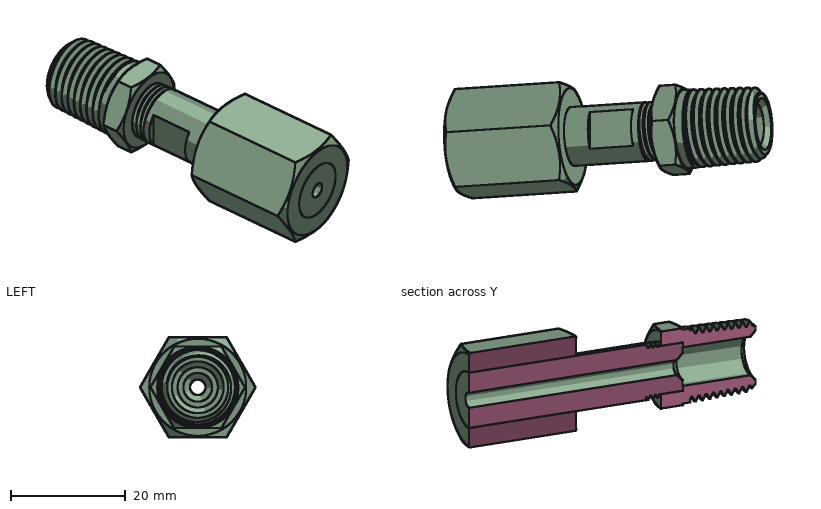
import cadquery as cq
import math


total_length = 55.7
thread_end = 12.65
hex_start = 14.15
hex_end = 18.4
nipple_thread_end = 21.3
flats_start = 22.55
flats_end = 30.45
nut_start = 34.8

collar_radius = 6.85
bushing_hex_width = 14.25
bushing_hex_face_radius = 7.1
lead_chamfer = 1.15
bushing_bore_radius = 3.5
bushing_countersink = 1.0

nipple_radius = 10.3 / 2
nipple_bore_radius = 1.35
nipple_countersink = 1.15
flats_thickness = 7.95

nut_corner_distance = 20.15
nut_width = nut_corner_distance * math.cos(math.radians(30))
nut_face_radius = 8.45

taper_slope = 1 / 32
bushing_pitch = 14.1 / 10
bushing_thread_depth = 1.0
bushing_thread_turn = -58.0
nipple_pitch = 9.4 / 10
nipple_thread_depth = 0.65
nipple_thread_turn = 188.0
root_half_width = 0.05
flank_slope = math.tan(math.radians(30))
groove_lead = 0.6
cutter_overrun = 0.45
cutter_start_angle = 280.0

hex_chamfer_slope = math.tan(math.radians(30))

tip_radius = nipple_radius - (nipple_thread_end - hex_end) * taper_slope - nipple_thread_depth


def revolve_profile(points):
    """Revolve a closed outline of (x, radius) points around the X axis."""
    return cq.Workplane("XY").polyline(points).close().revolve(360, (0, 0, 0), (1, 0, 0))


def cylinder(start, end, radius):
    return cq.Workplane("YZ").workplane(offset=start).circle(radius).extrude(end - start)


def countersink(start, bore_radius, depth):
    """45 degree cone that opens a bore towards -X."""
    return revolve_profile([
        (start, 0),
        (start, bore_radius + depth),
        (start + depth, bore_radius),
        (start + depth, 0),
    ])


def chamfered_hex(start, end, width, face_radius):
    """Hexagonal prism with corners on +Y and -Y and both ends turned to a cone."""
    corner_radius = width / math.sqrt(3)
    chamfer_length = (corner_radius - face_radius) * hex_chamfer_slope
    prism = cq.Workplane("YZ").workplane(offset=start).polygon(6, 2 * corner_radius).extrude(end - start)
    envelope = revolve_profile([
        (start, 0),
        (start, face_radius),
        (start + chamfer_length, corner_radius),
        (end - chamfer_length, corner_radius),
        (end, face_radius),
        (end, 0),
    ])
    return prism.intersect(envelope)


def thread_groove(start, end, end_radius, pitch, depth):
    """Right-hand helical V groove on a cone that grows towards +X."""
    first = start - groove_lead * pitch
    length = end - start + 2 * groove_lead * pitch
    root_radius = end_radius - (end - first) * taper_slope - depth
    crest_radius = root_radius + depth
    crest_half_width = root_half_width + depth * flank_slope
    outer_radius = crest_radius + cutter_overrun
    taper_angle = math.degrees(math.atan(taper_slope))
    helix = cq.Wire.makeHelix(pitch, length, root_radius, angle=taper_angle)
    groove = (
        cq.Workplane("XZ")
        .polyline([
            (root_radius, -root_half_width),
            (crest_radius, -crest_half_width),
            (outer_radius, -crest_half_width),
            (outer_radius, crest_half_width),
            (crest_radius, crest_half_width),
            (root_radius, root_half_width),
        ])
        .close()
        .sweep(cq.Workplane(obj=helix), isFrenet=True)
    )
    along_x = groove.rotate((0, 0, 0), (0, 1, 0), 90).translate((first, 0, 0))
    return along_x.rotate((0, 0, 0), (1, 0, 0), cutter_start_angle)


def cut_thread(blank, groove, turn):
    """Cut the groove into a round blank, then turn the blank to set where the thread starts."""
    return blank.cut(groove).rotate((0, 0, 0), (1, 0, 0), turn)


def make_bushing():
    crest_radius = collar_radius - thread_end * taper_slope
    chamfer_radius = crest_radius + lead_chamfer * taper_slope
    blank = revolve_profile([
        (0, 0),
        (0, chamfer_radius - lead_chamfer),
        (lead_chamfer, chamfer_radius),
        (thread_end, collar_radius),
        (thread_end, 0),
    ])
    groove = thread_groove(0, thread_end, collar_radius, bushing_pitch, bushing_thread_depth)
    threaded = cut_thread(blank, groove, bushing_thread_turn)
    collar = cylinder(thread_end, hex_start, collar_radius)
    hexagon = chamfered_hex(hex_start, hex_end, bushing_hex_width, bushing_hex_face_radius)
    bore = cylinder(0, hex_end, bushing_bore_radius)
    mouth = countersink(0, bushing_bore_radius, bushing_countersink)
    socket = cylinder(hex_start, hex_end, tip_radius)
    return threaded.union(collar).union(hexagon).cut(bore).cut(mouth).cut(socket)


def make_nipple():
    blank = revolve_profile([
        (hex_end, 0),
        (hex_end, tip_radius + nipple_thread_depth),
        (nipple_thread_end, nipple_radius),
        (nipple_thread_end, 0),
    ])
    groove = thread_groove(hex_end, nipple_thread_end, nipple_radius, nipple_pitch, nipple_thread_depth)
    threaded = cut_thread(blank, groove, nipple_thread_turn)
    tip = cylinder(hex_start, hex_end, tip_radius)
    barrel = cylinder(nipple_thread_end, total_length, nipple_radius)
    flats_length = flats_end - flats_start
    flats_ring = cylinder(flats_start, flats_end, 2 * nipple_radius)
    flats_core = cq.Workplane("XY").box(flats_length, flats_thickness, 4 * nipple_radius).translate(
        (flats_start + flats_length / 2, 0, 0))
    bore = cylinder(hex_start, total_length, nipple_bore_radius)
    mouth = countersink(hex_start, nipple_bore_radius, nipple_countersink)
    barrel = barrel.cut(flats_ring.cut(flats_core))
    return barrel.union(threaded).union(tip).cut(bore).cut(mouth)


def make_nut():
    hexagon = chamfered_hex(nut_start, total_length, nut_width, nut_face_radius)
    return hexagon.cut(cylinder(nut_start, total_length, nipple_radius))


bushing = make_bushing()
nipple = make_nipple()
nut = make_nut()

result = cq.Compound.makeCompound([bushing.val(), nipple.val(), nut.val()])